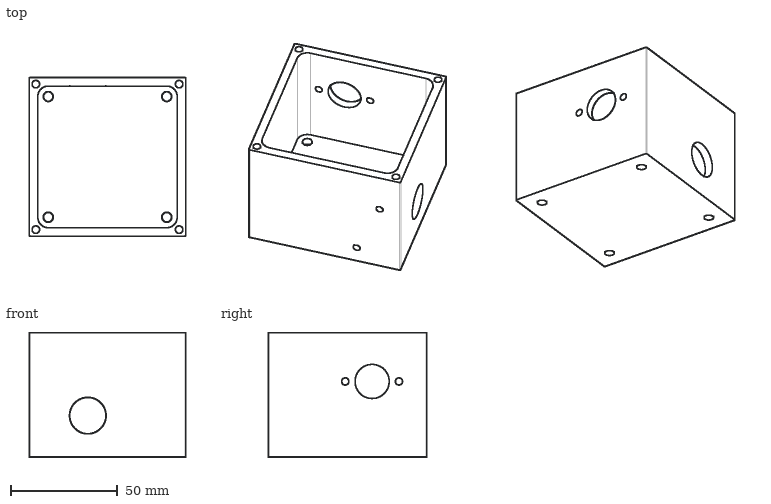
import cadquery as cq
import math

LENGTH = 73.5
WIDTH = 74.55
HEIGHT = 58.4
OUTER_EDGE_RADIUS = 0.5

WALL = 4.0
FLOOR = 4.0
CAVITY_CORNER_RADIUS = 5.0

LID_HOLE_DIAMETER = 3.5
LID_HOLE_DEPTH = 14.9
LID_HOLE_INSET = 3.1
DRILL_POINT_ANGLE = 118.0

FLOOR_HOLE_DIAMETER = 4.5
FLOOR_HOLE_INSET = 8.95

CABLE_HOLE_DIAMETER = 17.0
CABLE_HOLE_X = -9.25
CABLE_HOLE_Z = 19.45

CONNECTOR_HOLE_DIAMETER = 16.0
CONNECTOR_Y = 11.55
CONNECTOR_Z = 35.5
CONNECTOR_SCREW_SPACING = 25.2
SCREW_HOLE_DIAMETER = 3.35

SIDE_HOLES = [(-27.05, 37.65), (-15.8, 8.8)]


def corner_points(inset):
    """Four points set in equally from the corners of the block."""
    x = LENGTH / 2 - inset
    y = WIDTH / 2 - inset
    return [(-x, -y), (x, -y), (x, y), (-x, y)]


def box_shell():
    block = cq.Workplane("XY").box(LENGTH, WIDTH, HEIGHT, centered=(True, True, False))
    block = block.edges("|Z").fillet(OUTER_EDGE_RADIUS)
    cavity = (
        cq.Workplane("XY", origin=(0, 0, FLOOR))
        .rect(LENGTH - 2 * WALL, WIDTH - 2 * WALL)
        .extrude(HEIGHT - FLOOR)
        .edges("|Z")
        .fillet(CAVITY_CORNER_RADIUS)
    )
    return block.cut(cavity)


def drilled_hole():
    """Drill shape about the Z axis, with its mouth at the origin."""
    radius = LID_HOLE_DIAMETER / 2
    point_length = radius / math.tan(math.radians(DRILL_POINT_ANGLE / 2))
    profile = cq.Workplane("XZ").polyline([
        (0, 0),
        (radius, 0),
        (radius, -LID_HOLE_DEPTH),
        (0, -LID_HOLE_DEPTH - point_length),
    ]).close()
    return profile.revolve(360, (0, 0, 0), (0, 1, 0))


def x_wall_hole(side, diameter, y, z):
    """Cutter through the wall on the given side: -1 for -X, 1 for +X."""
    outer_face = side * LENGTH / 2
    return (
        cq.Workplane("YZ", origin=(outer_face, 0, 0))
        .center(y, z)
        .circle(diameter / 2)
        .extrude(-side * WALL)
    )


result = box_shell()

for x, y in corner_points(LID_HOLE_INSET):
    result = result.cut(drilled_hole().translate((x, y, HEIGHT)))

floor_holes = (
    cq.Workplane("XY")
    .pushPoints(corner_points(FLOOR_HOLE_INSET))
    .circle(FLOOR_HOLE_DIAMETER / 2)
    .extrude(FLOOR)
)
result = result.cut(floor_holes)

cable_hole = (
    cq.Workplane("XZ")
    .center(CABLE_HOLE_X, CABLE_HOLE_Z)
    .circle(CABLE_HOLE_DIAMETER / 2)
    .extrude(WIDTH / 2, both=True)
)
result = result.cut(cable_hole)

result = result.cut(x_wall_hole(1, CONNECTOR_HOLE_DIAMETER, CONNECTOR_Y, CONNECTOR_Z))
for offset in (-CONNECTOR_SCREW_SPACING / 2, CONNECTOR_SCREW_SPACING / 2):
    result = result.cut(x_wall_hole(1, SCREW_HOLE_DIAMETER, CONNECTOR_Y + offset, CONNECTOR_Z))

for y, z in SIDE_HOLES:
    result = result.cut(x_wall_hole(-1, SCREW_HOLE_DIAMETER, y, z))